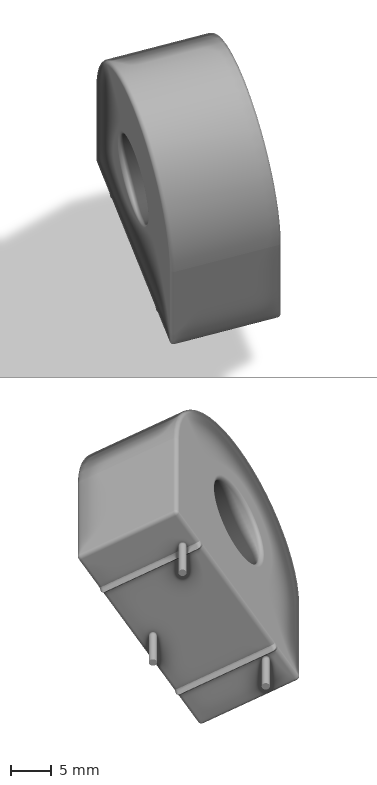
import cadquery as cq

width = 30.2
depth = 14.3
overall_height = 35.7
top_radius = width / 2
base_drop = 15.1
bore_diameter = 11.4
edge_radius = 0.5

ridge_offset = 9.17
ridge_half_width = 0.5
ridge_depth = 0.57

pin_diameter = 1.0
pin_length = overall_height - top_radius - base_drop
pin_embed = 1.07
pin_spread = 10.17
pin_row_offset = 5.07
pin_positions = [
    (-pin_spread, -pin_row_offset),
    (pin_spread, -pin_row_offset),
    (0, pin_row_offset),
]


def make_housing():
    """Extrude the arched outline with its ridges, then round the outer edges."""
    outline = cq.Workplane("XZ").moveTo(-top_radius, 0).lineTo(-top_radius, -base_drop)
    for center in (-ridge_offset, ridge_offset):
        outline = (
            outline.lineTo(center - ridge_half_width, -base_drop)
            .lineTo(center, -base_drop - ridge_depth)
            .lineTo(center + ridge_half_width, -base_drop)
        )
    block = (
        outline.lineTo(top_radius, -base_drop)
        .lineTo(top_radius, 0)
        .threePointArc((0, top_radius), (-top_radius, 0))
        .close()
        .extrude(depth / 2, both=True)
    )
    bore = cq.Workplane("XZ").circle(bore_diameter / 2).extrude(depth / 2, both=True)
    housing = block.cut(bore)

    rims = housing.faces("<Y or >Y").edges()
    lower_sides = housing.faces("<X or >X").edges("|Y").edges("<Z")
    return housing.newObject(rims.vals() + lower_sides.vals()).fillet(edge_radius)


def make_pins():
    """Round pins hanging from the base."""
    return (
        cq.Workplane("XY", origin=(0, 0, -base_drop - pin_length))
        .pushPoints(pin_positions)
        .circle(pin_diameter / 2)
        .extrude(pin_length + pin_embed)
    )


result = make_housing().union(make_pins())